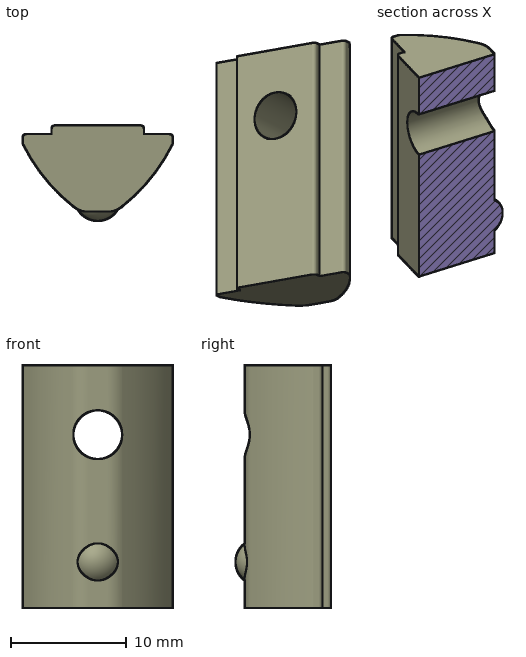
import cadquery as cq

length = 21.0
width = 13.0
body_depth = 7.48

tongue_width = 8.0
tongue_height = 0.75
corner_radius = 0.3

side_bottom_depth = 1.6
flank_middle_x = 3.86
flank_middle_depth = 5.42
front_width = 3.07
front_radius = 2.0

hole_diameter = 4.2
hole_height = 15.0
ball_radius = 2.0
ball_height = 4.0
ball_projection = 0.82


def make_body():
    """Extrude the profile along Z; the tongue's back face lies at Y = 0."""
    half_width = width / 2
    half_tongue = tongue_width / 2
    half_front = front_width / 2
    body = (
        cq.Workplane("XY")
        .moveTo(-half_tongue, 0)
        .lineTo(half_tongue, 0)
        .lineTo(half_tongue, -tongue_height)
        .lineTo(half_width, -tongue_height)
        .lineTo(half_width, -side_bottom_depth)
        .threePointArc((flank_middle_x, -flank_middle_depth), (half_front, -body_depth))
        .lineTo(-half_front, -body_depth)
        .threePointArc((-flank_middle_x, -flank_middle_depth), (-half_width, -side_bottom_depth))
        .lineTo(-half_width, -tongue_height)
        .lineTo(-half_tongue, -tongue_height)
        .close()
        .extrude(length)
    )
    body = body.faces(">Y").edges("|Z").fillet(corner_radius)
    for side in ("<X", ">X"):
        body = body.faces(side).edges("|Z").fillet(corner_radius)
    return body.faces("<Y").edges("|Z").fillet(front_radius)


def make_hole():
    """Cylinder along Y that cuts through the whole body."""
    return (
        cq.Workplane("XZ")
        .center(0, hole_height)
        .circle(hole_diameter / 2)
        .extrude(body_depth)
    )


def make_ball():
    """Sphere set into the front face, with its cap standing proud."""
    centre_y = ball_radius - body_depth - ball_projection
    return cq.Workplane("XY").sphere(ball_radius).translate((0, centre_y, ball_height))


result = make_body().cut(make_hole()).union(make_ball())